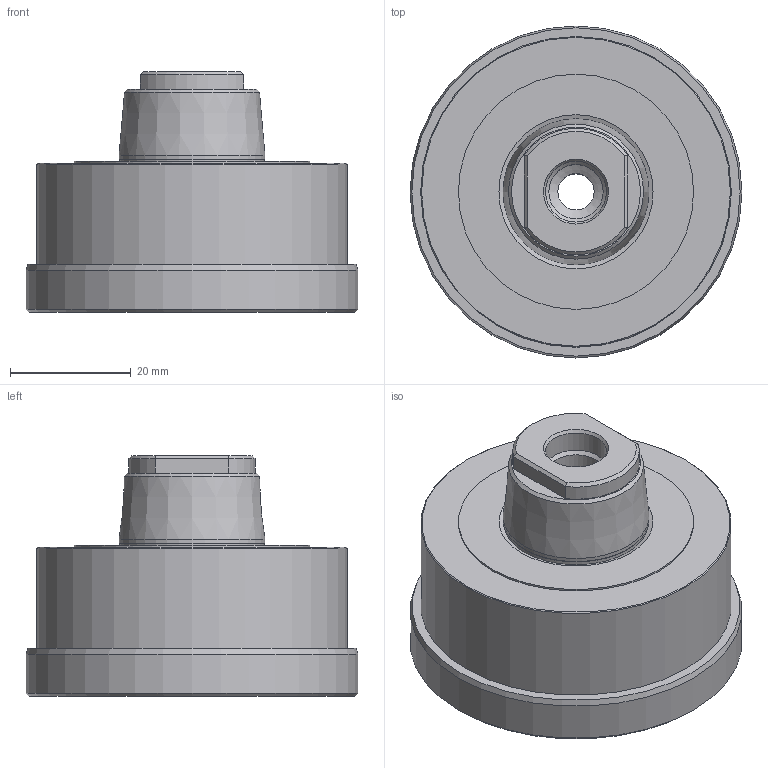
import cadquery as cq
import math

flange_height = 8.0
body_height = 24.75
disc_height = 25.05
collar_start = 25.4
taper_start = 26.1
boss_height = 37.0
overall_height = 39.95

flange_radius = 27.515
body_radius = 25.75
disc_radius = 19.5
shaft_radius = 12.0
collar_radius = 12.1
tip_radius = 10.5

taper_angle = 5.0
flat_distance = 8.55

edge_chamfer = 0.5
body_chamfer = 0.15
flange_top_chamfer_height = 1.0
flange_top_chamfer_width = 0.3
groove_radius = 12.78
groove_depth = 0.3

counterbore_radius = 5.05
counterbore_depth = 4.0
bore_radius = 4.5
bore_depth = 16.0
through_radius = 3.0
bore_point_angle = 118.0
mouth_chamfer_width = 0.33


def revolve(profile_points):
    """Solid of revolution about Z from (radius, height) points."""
    profile = cq.Workplane("XZ").polyline(profile_points).close()
    return profile.revolve(360, (0, 0), (0, 1))


def make_body():
    """Flange, cylindrical body, raised disc and tapered boss."""
    taper_end = boss_height - edge_chamfer
    taper_reduction = (taper_end - taper_start) * math.tan(math.radians(taper_angle))
    boss_top_radius = collar_radius - taper_reduction
    return revolve([
        (0, 0),
        (flange_radius - edge_chamfer, 0),
        (flange_radius, edge_chamfer),
        (flange_radius, flange_height - flange_top_chamfer_height),
        (flange_radius - flange_top_chamfer_width, flange_height),
        (body_radius, flange_height),
        (body_radius, body_height - body_chamfer),
        (body_radius - body_chamfer, body_height),
        (disc_radius, body_height),
        (disc_radius, disc_height),
        (groove_radius, disc_height),
        (shaft_radius, disc_height - groove_depth),
        (shaft_radius, collar_start),
        (collar_radius, collar_start),
        (collar_radius, taper_start),
        (boss_top_radius, taper_end),
        (boss_top_radius - edge_chamfer, boss_height),
        (0, boss_height),
    ])


def make_tip():
    """Round tip with two flats facing +X and -X and a chamfered top edge."""
    tip_height = overall_height - boss_height
    disc = cq.Workplane("XY").workplane(offset=boss_height).circle(tip_radius).extrude(tip_height)
    flats = (
        cq.Workplane("XY")
        .workplane(offset=boss_height)
        .rect(2 * flat_distance, 2 * tip_radius)
        .extrude(tip_height)
    )
    return disc.intersect(flats).faces(">Z").edges().chamfer(edge_chamfer)


def make_bore():
    """Counterbore, bore and through hole joined by conical steps."""
    ledge_drop = counterbore_radius - bore_radius
    seat_drop = (bore_radius - through_radius) / math.tan(math.radians(bore_point_angle / 2))
    return revolve([
        (0, 0),
        (through_radius, 0),
        (through_radius, overall_height - bore_depth - seat_drop),
        (bore_radius, overall_height - bore_depth),
        (bore_radius, overall_height - counterbore_depth - ledge_drop),
        (counterbore_radius, overall_height - counterbore_depth),
        (counterbore_radius, overall_height - edge_chamfer),
        (counterbore_radius + mouth_chamfer_width, overall_height),
        (0, overall_height),
    ])


result = make_body().union(make_tip()).cut(make_bore())